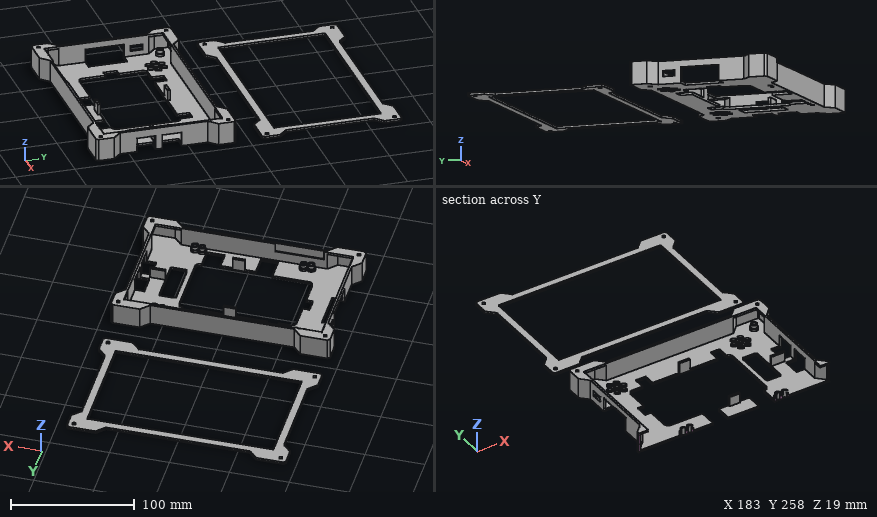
import cadquery as cq
LENGTH_X = 183.0
LENGTH_Y = 118.0
TOTAL_Y = 258.0
HEIGHT = 19.0
WALL = 2.0

LUG_STEP = 7.0
LUG_FLAT_X = 24.5
LUG_FLAT_Y = 15.0
LUG_CHAMFER = 1.8
SCREW_INSET = 5.2

BODY_X = LENGTH_X - 2 * LUG_STEP
BODY_Y = LENGTH_Y - 2 * LUG_STEP
CAVITY_X = BODY_X - 2 * WALL
CAVITY_Y = BODY_Y - 2 * WALL

FRAME_OPENING_X = 155.0
FRAME_OPENING_Y = 90.0
FRAME_HOLE_D = 2.5
FRAME_CENTRE_Y = TOTAL_Y - LENGTH_Y

HOUSING_HOLE_D = 2.5

OPENING_LEFT = -54.5
OPENING_RIGHT = 43.3
OPENING_BACK = 27.3
OPENING_FRONT = -30.2
OPENING_CORNER_R = 3.9
BACK_NOTCH_END = 37.7
BACK_NOTCHES = ((-40.5, -31.2), (31.2, 39.5))
LEFT_NOTCH_END = -60.0
LEFT_NOTCH_FRONT = -7.0
LEFT_NOTCH_BACK = 4.0
FRONT_NOTCHES = ((-20.0, -6.0, -48.8), (23.7, 38.7, -46.2))
LEDGE_FRONT = -32.0

CABLE_SLOT_LEFT = 48.0
CABLE_SLOT_RIGHT = 62.0
CABLE_SLOT_FRONT = -20.0
CABLE_SLOT_BACK = 17.3
CABLE_SLOT_R = 1.5

LEFT_PORT_REACH = -74.0
LEFT_PORT_FRONT = -15.2
LEFT_PORT_BACK = 17.3
LEFT_PORT_TOP = 13.2
RIGHT_PORT_REACH = 74.8
RIGHT_PORTS = ((-1.3, 15.2), (-22.7, -7.0))
RIGHT_PORT_TOP = 12.0

SWITCH_FRONT = 22.7
SWITCH_BACK = 33.0
SWITCH_BOTTOM = 6.5
SWITCH_TOP = 11.0

RECESS_LEFT = -58.0
RECESS_RIGHT = -17.3
RECESS_HEIGHT = 8.0
RECESS_DEPTH = 1.0

TAB_TOP = 11.0
BACK_TAB = (-5.2, 5.0)
FRONT_TAB = (3.4, 13.5)
SIDE_TAB_FRONT = -5.2

GRILLE_PITCH = 6.5
GRILLE_HOLE_D = 5.2
GRILLE_RING_HOLES = 6
GRILLE_CENTRES = ((-59.0, 37.2), (59.0, 36.5))

STANDOFF_BASE_D = 7.0
STANDOFF_BASE_H = 2.0
STANDOFF_NECK_D = 5.5
STANDOFF_NECK_H = 3.0
STANDOFF_HOLE_D = 3.0
INNER_NECK_D = 5.2
INNER_HOLE_D = 2.5
OUTER_STANDOFFS = ((-78.2, 46.2), (78.2, 46.2), (-48.5, -46.2), (48.5, -46.2))
INNER_STANDOFFS = ((-42.3, -45.7), (42.3, -45.7))


def block(x0, x1, y0, y1, z0, z1):
    """Box between opposite corners."""
    return cq.Workplane("XY").box(x1 - x0, y1 - y0, z1 - z0, centered=False).translate((x0, y0, z0))


def cylinder(x, y, z, diameter, height):
    return cq.Workplane("XY").center(x, y).circle(diameter / 2).extrude(height).translate((0, 0, z))


def lugged_outline():
    """Closed outline with four corner lugs, centred on the origin."""
    x_out, y_out = LENGTH_X / 2, LENGTH_Y / 2
    x_in, y_in = BODY_X / 2, BODY_Y / 2
    x_lug, y_lug = x_out - LUG_FLAT_X, y_out - LUG_FLAT_Y
    quarter = [
        (x_in, y_lug - LUG_STEP),
        (x_out, y_lug),
        (x_out, y_out - LUG_CHAMFER),
        (x_out - LUG_CHAMFER, y_out),
        (x_lug, y_out),
        (x_lug - LUG_STEP, y_in),
    ]
    mirrored = [(-x, y) for x, y in reversed(quarter)]
    back = quarter + mirrored
    front = [(-x, -y) for x, y in back]
    return cq.Workplane("XY").polyline(back + front).close()


def lug_holes(diameter):
    """Vertical cutters at the four lug screw positions."""
    return (
        cq.Workplane("XY")
        .rect(LENGTH_X - 2 * SCREW_INSET, LENGTH_Y - 2 * SCREW_INSET, forConstruction=True)
        .vertices()
        .circle(diameter / 2)
        .extrude(HEIGHT)
    )


def make_frame():
    opening = cq.Workplane("XY").rect(FRAME_OPENING_X, FRAME_OPENING_Y).extrude(WALL)
    frame = lugged_outline().extrude(WALL).cut(opening).cut(lug_holes(FRAME_HOLE_D))
    return frame.translate((0, FRAME_CENTRE_Y, 0))


def make_shell():
    """Thin-walled tray whose lugs are hollow under a roof."""
    outside = lugged_outline().extrude(HEIGHT)
    inside = lugged_outline().offset2D(-WALL, "intersection").extrude(HEIGHT - 2 * WALL).translate((0, 0, WALL))
    mouth = cq.Workplane("XY").rect(CAVITY_X, CAVITY_Y).extrude(HEIGHT - WALL).translate((0, 0, WALL))
    roof_holes = lug_holes(HOUSING_HOLE_D).translate((0, 0, HEIGHT - WALL))
    return outside.cut(inside).cut(mouth).cut(roof_holes)


def display_opening():
    """Floor cutter: rounded rectangle with notches on three sides."""
    cutter = (
        block(OPENING_LEFT, OPENING_RIGHT, OPENING_FRONT, OPENING_BACK, 0, WALL)
        .edges("|Z")
        .fillet(OPENING_CORNER_R)
    )
    for left, right in BACK_NOTCHES:
        cutter = cutter.union(block(left, right, 0, BACK_NOTCH_END, 0, WALL))
    cutter = cutter.union(block(LEFT_NOTCH_END, 0, LEFT_NOTCH_FRONT, LEFT_NOTCH_BACK, 0, WALL))
    for left, right, end in FRONT_NOTCHES:
        cutter = cutter.union(block(left, right, end, 0, 0, WALL))
    ledge_left = FRONT_NOTCHES[0][1]
    ledge_right = FRONT_NOTCHES[1][0]
    return cutter.union(block(ledge_left, ledge_right, LEDGE_FRONT, 0, 0, WALL))


def cable_slot():
    slot = block(CABLE_SLOT_LEFT, CABLE_SLOT_RIGHT, CABLE_SLOT_FRONT, CABLE_SLOT_BACK, 0, WALL)
    return slot.edges("|Z").fillet(CABLE_SLOT_R)


def grille(x, y):
    """Centre hole and a ring of holes through the floor."""
    ring = (
        cq.Workplane("XY")
        .polarArray(GRILLE_PITCH, 0, 360, GRILLE_RING_HOLES)
        .circle(GRILLE_HOLE_D / 2)
        .extrude(WALL)
    )
    return ring.union(cylinder(0, 0, 0, GRILLE_HOLE_D, WALL)).translate((x, y, 0))


def wall_ports():
    """Cutters for the openings in the left and right walls."""
    half = BODY_X / 2
    cutters = [
        block(-half, LEFT_PORT_REACH, LEFT_PORT_FRONT, LEFT_PORT_BACK, 0, LEFT_PORT_TOP),
        block(-half, -half + WALL, SWITCH_FRONT, SWITCH_BACK, SWITCH_BOTTOM, SWITCH_TOP),
    ]
    for front, back in RIGHT_PORTS:
        cutters.append(block(RIGHT_PORT_REACH, half, front, back, 0, RIGHT_PORT_TOP))
    return cutters


def wall_recess():
    inner_face = -CAVITY_Y / 2
    return block(
        RECESS_LEFT, RECESS_RIGHT, inner_face - RECESS_DEPTH, inner_face, HEIGHT - RECESS_HEIGHT, HEIGHT
    )


def tabs():
    return [
        block(*BACK_TAB, OPENING_BACK, OPENING_BACK + WALL, 0, TAB_TOP),
        block(*FRONT_TAB, LEDGE_FRONT - WALL, LEDGE_FRONT, 0, TAB_TOP),
        block(CABLE_SLOT_RIGHT, RIGHT_PORT_REACH, SIDE_TAB_FRONT, SIDE_TAB_FRONT + WALL, 0, TAB_TOP),
    ]


def add_standoffs(housing):
    """Stepped standoffs on the floor, each with a hole right through."""
    places = [(x, y, STANDOFF_NECK_D, STANDOFF_HOLE_D) for x, y in OUTER_STANDOFFS]
    places += [(x, y, INNER_NECK_D, INNER_HOLE_D) for x, y in INNER_STANDOFFS]
    for x, y, neck, _ in places:
        housing = housing.union(cylinder(x, y, WALL, STANDOFF_BASE_D, STANDOFF_BASE_H))
        housing = housing.union(cylinder(x, y, WALL + STANDOFF_BASE_H, neck, STANDOFF_NECK_H))
    for x, y, _, hole in places:
        housing = housing.cut(cylinder(x, y, 0, hole, HEIGHT))
    return housing


def make_housing():
    housing = make_shell().cut(display_opening()).cut(cable_slot())
    for x, y in GRILLE_CENTRES:
        housing = housing.cut(grille(x, y))
    for cutter in wall_ports():
        housing = housing.cut(cutter)
    housing = housing.cut(wall_recess())
    for tab in tabs():
        housing = housing.union(tab)
    return add_standoffs(housing)


housing = make_housing()
frame = make_frame()

result = cq.Compound.makeCompound([housing.val(), frame.val()])